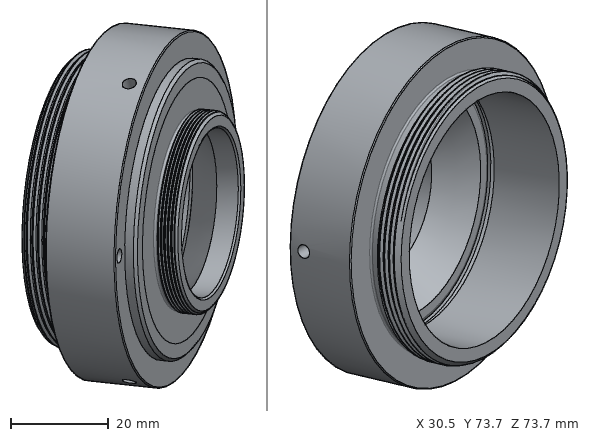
import cadquery as cq
import math

total_length = 30.48
front_thread_end = 5.5
ring_start = 7.62
ring_end = 22.86
sleeve_start = 16.25
sleeve_end = 25.4
insert_face = 17.78
cone_end = 25.4
nose_thread_start = 26.15

ring_radius = 73.66 / 2
front_thread_radius = 30.8
front_neck_radius = 29.6
bore_radius = 26.75
sleeve_radius = 31.1
insert_radius = 27.4
cone_mouth_radius = 24.1
throat_radius = 17.5
nose_thread_radius = 21.0
nose_neck_radius = 20.2

ring_chamfer = 0.25
front_neck_fillet = 0.4
front_thread_chamfer = 1.15
sleeve_rear_chamfer = 0.65
sleeve_entry_chamfer = 1.3
insert_fillet = 1.1
nose_neck_fillet = 0.5
nose_thread_chamfer = 0.85
throat_chamfer = 0.4

front_pitch = 1.25
front_crest_x = 1.2
nose_pitch = 0.75
nose_crest_x = 27.05
half_flank_angle = 30
groove_mouth_per_pitch = 7 / 8
groove_floor_per_pitch = 1 / 4
groove_clearance_per_pitch = 1 / 20

seam_angle = 200

screw_hole_diameter = 2.9
screw_hole_x = 19.3
screw_count = 3
pin_hole_diameter = 2.9
pin_hole_offset = 34.3


def revolve_about_x(outline):
    """Close an outline drawn as (x, radius) points and revolve it about the X axis."""
    body = outline.close().revolve(360, (0, 0, 0), (1, 0, 0))
    return body.rotate((0, 0, 0), (1, 0, 0), seam_angle)


def thread_groove(pitch, crest_radius, crest_x, x_start, x_end):
    """Right-hand helical cutter about X that leaves a crest at crest_x on the +Z side."""
    half_floor = groove_floor_per_pitch * pitch / 2
    half_mouth = groove_mouth_per_pitch * pitch / 2
    flank_slope = math.tan(math.radians(half_flank_angle))
    depth = (half_mouth - half_floor) / flank_slope
    clearance = groove_clearance_per_pitch * pitch
    half_top = half_mouth + clearance * flank_slope

    path = cq.Wire.makeHelix(pitch, x_end - x_start, crest_radius)
    cutter = (
        cq.Workplane("XZ")
        .moveTo(crest_radius - depth, -half_floor)
        .lineTo(crest_radius + clearance, -half_top)
        .lineTo(crest_radius + clearance, half_top)
        .lineTo(crest_radius - depth, half_floor)
        .close()
        .sweep(cq.Workplane(obj=path), isFrenet=True)
    )
    cutter = cutter.rotate((0, 0, 0), (1, 1, 1), 120)
    groove_x = crest_x - pitch / 2
    start_angle = 90 + 360 * (x_start - groove_x) / pitch
    return cutter.rotate((0, 0, 0), (1, 0, 0), start_angle).translate((x_start, 0, 0))


def housing_blank():
    """Ring with a threaded tube in front and a counterbore for the sleeve behind."""
    return revolve_about_x(
        cq.Workplane("XZ")
        .moveTo(0, bore_radius)
        .lineTo(0, front_thread_radius - front_thread_chamfer)
        .lineTo(front_thread_chamfer, front_thread_radius)
        .lineTo(front_thread_end, front_thread_radius)
        .lineTo(front_thread_end, front_neck_radius)
        .lineTo(ring_start - front_neck_fillet, front_neck_radius)
        .radiusArc((ring_start, front_neck_radius + front_neck_fillet), -front_neck_fillet)
        .lineTo(ring_start, ring_radius - ring_chamfer)
        .lineTo(ring_start + ring_chamfer, ring_radius)
        .lineTo(ring_end - ring_chamfer, ring_radius)
        .lineTo(ring_end, ring_radius - ring_chamfer)
        .lineTo(ring_end, sleeve_radius)
        .lineTo(sleeve_start, sleeve_radius)
        .lineTo(sleeve_start, bore_radius)
    )


def screw_hole(angle):
    """Radial hole from the axis outward, turned about X from the +Y side."""
    hole = (
        cq.Workplane("XZ", origin=(screw_hole_x, 0, 0))
        .circle(screw_hole_diameter / 2)
        .extrude(-ring_radius)
    )
    return hole.rotate((0, 0, 0), (1, 0, 0), angle)


def pin_hole():
    """Axial hole through the ring on its -Y side."""
    return (
        cq.Workplane("YZ", origin=(ring_start, -pin_hole_offset, 0))
        .circle(pin_hole_diameter / 2)
        .extrude(ring_end - ring_start)
    )


def make_housing():
    body = housing_blank()
    groove = thread_groove(
        front_pitch, front_thread_radius, front_crest_x,
        -front_pitch, front_thread_end + front_pitch / 2,
    )
    body = body.cut(groove)
    for index in range(screw_count):
        body = body.cut(screw_hole(index * 360 / screw_count))
    return body.cut(pin_hole())


def make_sleeve():
    """Plain tube between ring and insert, with an inner entry chamfer and a rear outer chamfer."""
    return revolve_about_x(
        cq.Workplane("XZ")
        .moveTo(sleeve_start, insert_radius + sleeve_entry_chamfer)
        .lineTo(sleeve_start, sleeve_radius)
        .lineTo(sleeve_end - sleeve_rear_chamfer, sleeve_radius)
        .lineTo(sleeve_end, sleeve_radius - sleeve_rear_chamfer)
        .lineTo(sleeve_end, insert_radius)
        .lineTo(sleeve_start + sleeve_entry_chamfer, insert_radius)
    )


def make_insert():
    """Disc with a conical mouth that narrows to the throat of a threaded nose."""
    body = revolve_about_x(
        cq.Workplane("XZ")
        .moveTo(insert_face, cone_mouth_radius)
        .lineTo(insert_face, insert_radius - insert_fillet)
        .radiusArc((insert_face + insert_fillet, insert_radius), insert_fillet)
        .lineTo(sleeve_end, insert_radius)
        .lineTo(sleeve_end, nose_neck_radius + nose_neck_fillet)
        .radiusArc((sleeve_end + nose_neck_fillet, nose_neck_radius), -nose_neck_fillet)
        .lineTo(nose_thread_start, nose_neck_radius)
        .lineTo(nose_thread_start, nose_thread_radius)
        .lineTo(total_length - nose_thread_chamfer, nose_thread_radius)
        .lineTo(total_length, nose_thread_radius - nose_thread_chamfer)
        .lineTo(total_length, throat_radius + throat_chamfer)
        .lineTo(total_length - throat_chamfer, throat_radius)
        .lineTo(cone_end, throat_radius)
    )
    groove = thread_groove(
        nose_pitch, nose_thread_radius, nose_crest_x,
        nose_thread_start - nose_pitch / 3, total_length + nose_pitch,
    )
    return body.cut(groove)


housing = make_housing()
sleeve = make_sleeve()
insert = make_insert()
result = cq.Compound.makeCompound([housing.val(), sleeve.val(), insert.val()])